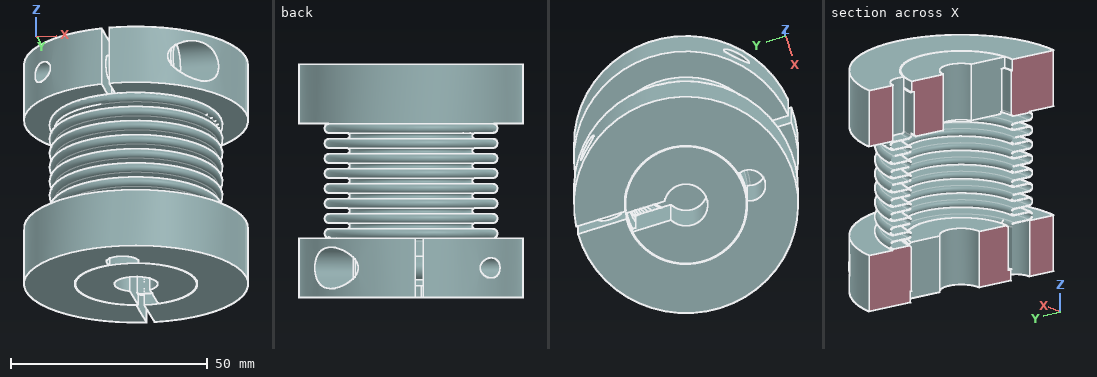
import cadquery as cq
import math


overall_height = 59.3
hub_height = 15.1
hub_radius = 28.5
hub_top = overall_height / 2
hub_bottom = hub_top - hub_height
hub_mid = hub_top - hub_height / 2

convolution_count = 8
convolution_height = 2.4
tip_radius = 22.0
root_radius = 15.6
wall = 0.3
pitch = (2 * hub_bottom - convolution_height) / (convolution_count - 1)
root_round = (pitch - convolution_height) / 2

flange_radius = 15.4
flange_height = 3.0
plug_radius = 14.5
nose_chamfer = 0.5
shaft_bore_radius = 5.5
keyway_width = 5.2
sleeve_end = hub_top - flange_height

slit_width = 2.0
slit_x = -2.1
relief_radius = 4.1
relief_y = 16.9

screw_y = -19.9
shank_radius = 3.0
head_radius = 5.1
head_height = 6.0
head_chamfer = 0.5
head_end_x = 14.7
head_seat_x = head_end_x - head_height
shank_length = 20.0
counterbore_radius = 5.25
tap_radius = 2.55


def cylinder(radius, bottom, top):
    """Cylinder on the Z axis."""
    return cq.Workplane("XY").workplane(offset=bottom).circle(radius).extrude(top - bottom)


def screw_cylinder(radius, start_x, end_x):
    """Cylinder on the axis of the clamp screw."""
    plane = cq.Plane(origin=(start_x, screw_y, hub_mid), xDir=(0, -1, 0), normal=(1, 0, 0))
    return cq.Workplane(plane).circle(radius).extrude(end_x - start_x)


def bellows_body(inset):
    """Solid inside the bellows surface, moved inward by the inset."""
    root = root_radius - inset
    root_arc = root_round + inset
    tip_arc = convolution_height / 2 - inset
    tip = tip_radius - inset
    flank_start = root + root_arc
    flank_end = tip - tip_arc
    first_z = -hub_bottom + convolution_height / 2
    arc_middle = root_arc * (1 - math.cos(math.pi / 4))

    plane = cq.Plane(origin=(0, 0, 0), xDir=(0, -1, 0), normal=(-1, 0, 0))
    profile = cq.Workplane(plane).moveTo(0, -sleeve_end).lineTo(root, -sleeve_end)
    profile = profile.lineTo(root, first_z - tip_arc - root_arc)
    profile = profile.threePointArc(
        (root + arc_middle, first_z - tip_arc - arc_middle),
        (flank_start, first_z - tip_arc),
    )
    for index in range(convolution_count):
        z = first_z + index * pitch
        profile = profile.lineTo(flank_end, z - tip_arc)
        profile = profile.threePointArc((tip, z), (flank_end, z + tip_arc))
        profile = profile.lineTo(flank_start, z + tip_arc)
        if index < convolution_count - 1:
            profile = profile.threePointArc(
                (root, z + pitch / 2),
                (flank_start, z + pitch - tip_arc),
            )
    last_flank = -first_z + tip_arc
    profile = profile.threePointArc(
        (root + arc_middle, last_flank + arc_middle),
        (root, last_flank + root_arc),
    )
    profile = profile.lineTo(root, sleeve_end).lineTo(0, sleeve_end).close()
    return profile.revolve(360, (0, 0, 0), (0, 1, 0))


def make_bellows():
    """Convoluted tube with a plain sleeve at each end."""
    return bellows_body(0).cut(bellows_body(wall))


def make_hub():
    """Upper clamping ring with slit, relief hole and screw holes."""
    hub = cylinder(hub_radius, hub_bottom, hub_top)
    hub = hub.cut(cylinder(root_radius, hub_bottom, hub_top))
    slit = cq.Workplane("XY").box(slit_width, hub_radius, hub_height)
    hub = hub.cut(slit.translate((slit_x, -hub_radius / 2, hub_mid)))
    relief = cylinder(relief_radius, hub_bottom, hub_top)
    hub = hub.cut(relief.translate((0, relief_y, 0)))
    hub = hub.cut(screw_cylinder(tap_radius, -hub_radius, 0))
    return hub.cut(screw_cylinder(counterbore_radius, head_seat_x, hub_radius))


def make_insert():
    """Flanged bushing with the shaft bore and a keyway open through the rim."""
    insert = cylinder(plug_radius, hub_bottom, hub_top)
    insert = insert.faces("<Z").chamfer(nose_chamfer)
    insert = insert.union(cylinder(flange_radius, sleeve_end, hub_top))
    insert = insert.cut(cylinder(shaft_bore_radius, hub_bottom, hub_top))
    keyway = cq.Workplane("XY").box(keyway_width, flange_radius, hub_height)
    return insert.cut(keyway.translate((0, -flange_radius / 2, hub_mid)))


def make_screw():
    """Clamp screw with a chamfered head."""
    head = screw_cylinder(head_radius, head_seat_x, head_end_x)
    head = head.faces(">X").chamfer(head_chamfer)
    return head.union(screw_cylinder(shank_radius, head_seat_x - shank_length, head_seat_x))


upper_end = make_hub().union(make_screw()).union(make_insert())
lower_end = upper_end.rotate((0, 0, 0), (1, 0, 0), 180)
result = make_bellows().union(upper_end).union(lower_end)